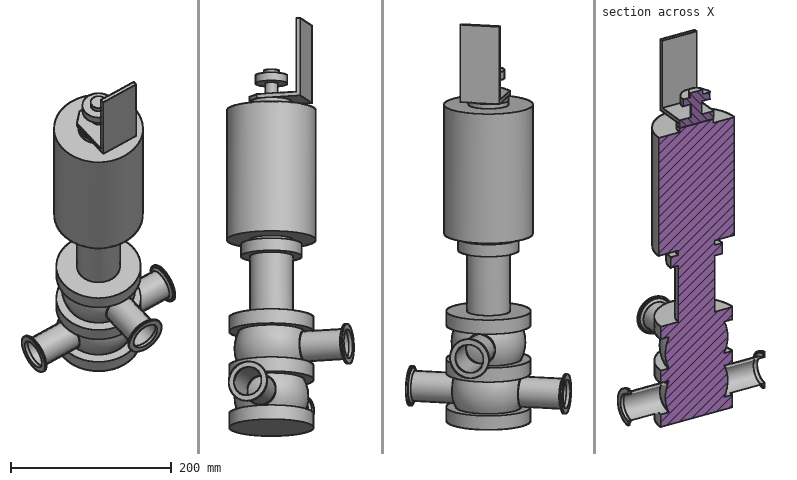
import cadquery as cq

total_height = 513.0

flange_dia = 105.0
flange_thickness = 18.0
chamber_pitch = 61.0
lower_chamber_z = (flange_thickness + chamber_pitch) / 2
upper_chamber_z = lower_chamber_z + chamber_pitch
ball_dia = 92.5
ball_seam_angle = 135
flange_bottoms = [level * chamber_pitch for level in range(3)]
chamber_top = flange_bottoms[-1] + flange_thickness

port_root = 25.5
port_reach = 100.0
port_outer_dia = 38.0
port_bore_dia = 36.0
ferrule_dia = 50.0
ferrule_rim = 2.5
ferrule_taper = 2.5
ferrule_taper_dia = 45.0

neck_dia = 54.0
clamp_dia = 76.0
clamp_bottom = 217.5
clamp_height = 15.5
actuator_dia = 111.0
actuator_bottom = 238.5
actuator_top = 403.0

collar_dia = 50.5
collar_half_height = 5.5
collar_joint = actuator_top + collar_half_height
bracket_bottom = collar_joint + collar_half_height

bracket_thickness = 5.0
bracket_end_x = 45.0
bracket_corner_cut = 14.0
bracket_top = bracket_bottom + bracket_thickness
stem_dia = 16.0
knob_dia = 40.0
knob_bottom = 437.0
knob_top = 447.0
cap_dia = 19.5
cap_top = 453.5


def cylinder(diameter, bottom, top):
    """Upright cylinder on the valve axis."""
    return cq.Workplane("XY").workplane(offset=bottom).circle(diameter / 2).extrude(top - bottom)


def make_port(height, angle):
    """Pipe stub from inside its ball to its ferrule; angle is measured from +X about Z."""
    rim_start = port_reach - ferrule_rim
    taper_start = rim_start - ferrule_taper
    bore_radius = port_bore_dia / 2
    pipe_radius = port_outer_dia / 2
    profile = [
        (port_root, bore_radius),
        (port_root, pipe_radius),
        (taper_start, pipe_radius),
        (rim_start, ferrule_taper_dia / 2),
        (rim_start, ferrule_dia / 2),
        (port_reach, ferrule_dia / 2),
        (port_reach, bore_radius),
    ]
    port = cq.Workplane("XZ").polyline(profile).close().revolve(360, (0, 0, 0), (1, 0, 0))
    return port.rotate((0, 0, 0), (0, 0, 1), angle).translate((0, 0, height))


def make_valve():
    """Flanged ball chambers, ports, neck, actuator and the lower half of the collar."""
    valve = cylinder(neck_dia, chamber_top, actuator_bottom)
    valve = valve.union(cylinder(clamp_dia, clamp_bottom, clamp_bottom + clamp_height))
    valve = valve.union(cylinder(actuator_dia, actuator_bottom, actuator_top))
    valve = valve.union(cylinder(collar_dia, actuator_top, collar_joint))

    envelope = cylinder(flange_dia, 0, chamber_top)
    for height in (lower_chamber_z, upper_chamber_z):
        ball = cq.Workplane("XY").sphere(ball_dia / 2).rotate((0, 0, 0), (0, 0, 1), ball_seam_angle)
        ball = ball.translate((0, 0, height))
        valve = valve.union(ball.intersect(envelope))
    for bottom in flange_bottoms:
        valve = valve.union(cylinder(flange_dia, bottom, bottom + flange_thickness))

    for height, angle in ((upper_chamber_z, 0), (lower_chamber_z, 90), (lower_chamber_z, -90)):
        valve = valve.union(make_port(height, angle))
    return valve


def make_bracket():
    """Angle bracket: a foot with two cut corners and an upright plate at its +X end."""
    foot_start = -collar_dia / 2
    foot = (
        cq.Workplane("XY")
        .box(bracket_end_x - foot_start, collar_dia, bracket_thickness, centered=(False, True, False))
        .translate((foot_start, 0, bracket_bottom))
        .edges("|Z and <X")
        .chamfer(bracket_corner_cut)
    )
    upright = (
        cq.Workplane("XY")
        .box(bracket_thickness, collar_dia, total_height - bracket_bottom, centered=(False, True, False))
        .translate((bracket_end_x - bracket_thickness, 0, bracket_bottom))
    )
    return foot.union(upright)


def make_indicator():
    """Upper half of the collar with the bracket, stem, knob and cap."""
    indicator = cylinder(collar_dia, collar_joint, bracket_bottom).union(make_bracket())
    indicator = indicator.union(cylinder(stem_dia, bracket_top, knob_bottom))
    indicator = indicator.union(cylinder(knob_dia, knob_bottom, knob_top))
    return indicator.union(cylinder(cap_dia, knob_top, cap_top))


valve = make_valve()
indicator = make_indicator()
result = cq.Compound.makeCompound([valve.val(), indicator.val()])